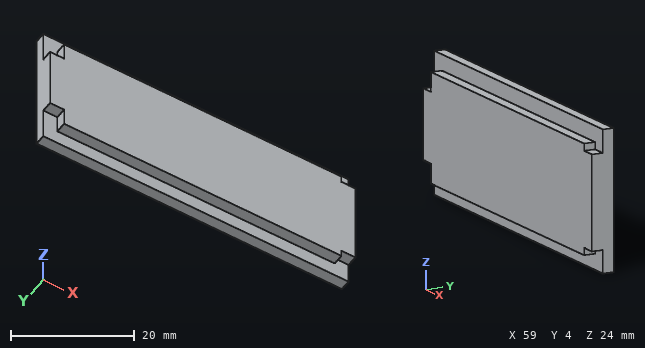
import cadquery as cq

length = 59.0
height = 24.0
total_depth = 4.0
plate_depth = total_depth / 2

margin = 2.7
panel_depth = total_depth - plate_depth
panel_length = length - 2 * margin
panel_height = height - 2 * margin

left_tab_height = 12.0
right_tab_height = 16.15


def raised_block(center_x, block_length, block_height):
    """Block standing on the -Y face of the plate, centred in height."""
    return cq.Workplane("XY").box(block_length, panel_depth, block_height).translate(
        (center_x, -panel_depth / 2, 0)
    )


plate = cq.Workplane("XY").box(length, plate_depth, height).translate((0, plate_depth / 2, 0))
panel = raised_block(0, panel_length, panel_height)

tab_center = (length - margin) / 2
left_tab = raised_block(-tab_center, margin, left_tab_height)
right_tab = raised_block(tab_center, margin, right_tab_height)

result = plate.union(panel).union(left_tab).union(right_tab).clean()